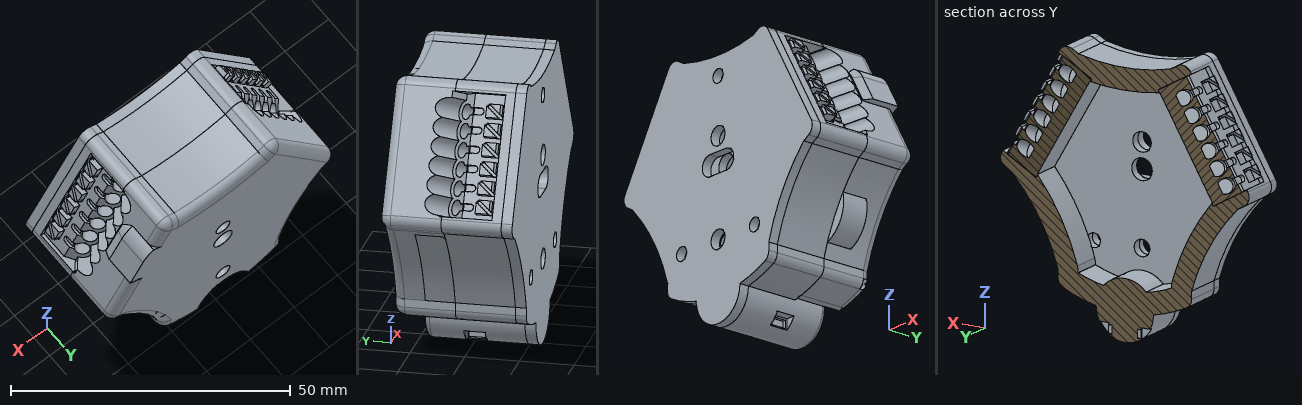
import cadquery as cq
import math

PLATE_THICKNESS = 2.0
SPLIT_Y = 13.0
BACK_Y = 24.3
COVER_EDGE_RADIUS = 2.0

OUTER_RADIUS = 25.845
CORNER_RADIUS = 2.0
CORNER_CENTRE_RADIUS = OUTER_RADIUS - CORNER_RADIUS
FACE_DISTANCE = CORNER_CENTRE_RADIUS * math.cos(math.pi / 6) + CORNER_RADIUS
BOTTOM_DISTANCE = 25.4
HOLLOW_RADIUS = 40.0
HOLLOW_HALF_WIDTH = 9.58

LOBE_RADIUS = 6.0
LOBE_Z = -24.75
LOBE_BACK_Y = 20.5
LOBE_EDGE_RADIUS = 1.0
COVER_BOTTOM_Z = -24.36
WINDOW_Y = (9.8, 13.0)
WINDOW_Z = (-29.5, -27.9)
WINDOW_DEPTH = 1.0
WINDOW_RIM_WIDTH = 0.35
WINDOW_RIM_DEPTH = 0.3

CENTRE_HOLE_DIAMETER = 4.2
CENTRE_SLOT_LENGTH = 8.6
THROUGH_HOLE_DIAMETER = 3.2
PLATE_HOLE_DIAMETER = 3.8
THROUGH_HOLE_Z = (5.1, -14.65)
SCREW_HOLE_DIAMETER = 2.75
SCREW_POINTS = [(0, 16.5), (-10, -14.65), (10, -14.65)]

WALL = 4.3
CAVITY_FRONT_Y = 3.8
COVER_BACK_THICKNESS = 2.0
CAVITY_BACK_Y = BACK_Y - COVER_BACK_THICKNESS

CONNECTOR_ANGLES = (-60, 60)
CONNECTOR_HALF_LENGTH = 11.45
CONNECTOR_DEPTH = 8.0
CONNECTOR_FRONT_Y = CAVITY_FRONT_Y
FRONT_RECESS = 0.9
ENTRY_LOWER_Y = 9.5
POLES = 6
POLE_PITCH = 3.5
POLE_ROW_OFFSET = -0.5
BUTTON_WIDTH = 2.45
BUTTON_Y = (4.0, 6.9)
BUTTON_RISE = 0.55
BUTTON_CHAMFER = 0.4
BUTTON_SLOT_WIDTH = 0.6
BUTTON_SLOT_DEPTH = 1.2
GROOVE_RADIUS = 2.0
ENTRY_FACE_Y = 13.5
TONGUE_TIP_Y = 11.25
TONGUE_TIP_DEPTH = ENTRY_FACE_Y - TONGUE_TIP_Y
SLOPE_END_DEPTH = FRONT_RECESS + SPLIT_Y - ENTRY_LOWER_Y
WIRE_HOLE_RADIUS = 1.4
WIRE_HOLE_LENGTH = 3.0
NOTCH_WIDTH = 1.3
NOTCH_LOWER_Y = 7.6
NOTCH_DEPTH = 0.7

BOSS_HEIGHT = 1.05
BOSS_FRONT_Y = 16.4
BOSS_START = -7.4
BOSS_FLAT_START = -4.3
BOSS_END = 1.5
BOSS_FLANK_RADIUS = 5.1
BOSS_BEVEL_HEIGHT = 0.8
BOSS_BEVEL_LENGTH = 1.9

BULGE_RADIUS = 7.35
BULGE_CENTRE = (12.0, -9.5)
SIDE_PART_BACK_Y = 18.5
INSERT_Z = (-19.1, -3.45)
INSERT_INNER_X = -8.0
INSERT_CORNER_RADIUS = 0.8


def polar(radius, degrees, centre=(0, 0)):
    angle = math.radians(degrees)
    return (centre[0] + radius * math.cos(angle), centre[1] + radius * math.sin(angle))


def turned(point, degrees):
    """Point turned about the centre of the outline."""
    return polar(math.hypot(*point), math.degrees(math.atan2(point[1], point[0])) + degrees)


def round_corner(path, corner, first_normal, last_normal):
    """Arc around a corner, from where the path already stands."""
    centre = polar(CORNER_CENTRE_RADIUS, corner)
    middle = (first_normal + last_normal) / 2
    return path.threePointArc(
        polar(CORNER_RADIUS, middle, centre), polar(CORNER_RADIUS, last_normal, centre)
    )


def add_corner(path, corner, first_normal, last_normal):
    """Line to a rounded corner, then the arc around it."""
    centre = polar(CORNER_CENTRE_RADIUS, corner)
    path = path.lineTo(*polar(CORNER_RADIUS, first_normal, centre))
    return round_corner(path, corner, first_normal, last_normal)


def body_outline(front_y):
    corner_top = polar(CORNER_CENTRE_RADIUS, 60)
    tangent_point = polar(CORNER_RADIUS, 120, corner_top)
    end_drop = (tangent_point[0] - HOLLOW_HALF_WIDTH) * math.tan(math.pi / 6)
    hollow_end = (HOLLOW_HALF_WIDTH, tangent_point[1] - end_drop)
    hollow_start = (-hollow_end[0], hollow_end[1])
    sagitta = HOLLOW_RADIUS - math.sqrt(HOLLOW_RADIUS**2 - HOLLOW_HALF_WIDTH**2)
    hollow_middle = (0, hollow_end[1] - sagitta)

    path = cq.Workplane("XZ", origin=(0, front_y, 0)).moveTo(*hollow_end)
    path = path.threePointArc(hollow_middle, hollow_start)
    path = add_corner(path, 120, 60, 150)
    path = add_corner(path, 180, 150, 240)
    path = path.lineTo(*turned(hollow_end, 120))
    path = path.threePointArc(turned(hollow_middle, 120), turned(hollow_start, 120))
    path = add_corner(path, 240, 180, 240)
    path = path.threePointArc((0, -BOTTOM_DISTANCE), polar(OUTER_RADIUS, 300))
    path = round_corner(path, 300, 300, 360)
    path = path.lineTo(*turned(hollow_end, 240))
    path = path.threePointArc(turned(hollow_middle, 240), turned(hollow_start, 240))
    path = add_corner(path, 0, -60, 30)
    path = add_corner(path, 60, 30, 120)
    return path.close()


def body_block(front_y, back_y):
    return body_outline(front_y).extrude(front_y - back_y)


def cavity(front_y, back_y):
    return body_outline(front_y).offset2D(-WALL).extrude(front_y - back_y)


def rod(points, diameter, front_y, back_y):
    plane = cq.Workplane("XZ", origin=(0, front_y, 0))
    return plane.pushPoints(points).circle(diameter / 2).extrude(front_y - back_y)


def box(x_range, y_range, z_range):
    sizes = [high - low for low, high in (x_range, y_range, z_range)]
    corner = (x_range[0], y_range[0], z_range[0])
    return cq.Workplane("XY").box(*sizes, centered=False).translate(corner)


def on_face(shape, angle):
    """Moves a shape from the frame of a connector face to the face itself."""
    return shape.rotate((0, 0, 0), (0, 1, 0), angle)


def pole_positions():
    first = POLE_ROW_OFFSET - POLE_PITCH * (POLES - 1) / 2
    return [first + POLE_PITCH * index for index in range(POLES)]


def through_holes(front_y, back_y):
    points = [(0, z) for z in THROUGH_HOLE_Z]
    holes = rod([(0, 0)], CENTRE_HOLE_DIAMETER, front_y, back_y)
    return holes.union(rod(points, THROUGH_HOLE_DIAMETER, front_y, back_y))


def wire_rods(radius, inner_length):
    """45 degree round rods that lead from outside the face down to the wire entry and beyond."""
    outside = 1.5 * GROOVE_RADIUS
    length = math.sqrt(2) * (outside + TONGUE_TIP_DEPTH) + inner_length
    rods = cq.Workplane("XY")
    for x in pole_positions():
        start = cq.Vector(x, ENTRY_FACE_Y + outside, FACE_DISTANCE + outside)
        rods = rods.add(cq.Solid.makeCylinder(radius, length, start, cq.Vector(0, -1, -1)))
    return rods.combine()


def entry_relief():
    """45 degree bevel of the cover above the wire entry."""
    overshoot = CORNER_RADIUS
    profile = [
        (SPLIT_Y, FACE_DISTANCE - ENTRY_FACE_Y + SPLIT_Y),
        (ENTRY_FACE_Y + overshoot, FACE_DISTANCE + overshoot),
        (SPLIT_Y, FACE_DISTANCE + overshoot),
    ]
    start = cq.Workplane("YZ", origin=(-CONNECTOR_HALF_LENGTH, 0, 0))
    return start.polyline(profile).close().extrude(2 * CONNECTOR_HALF_LENGTH)


def cover_tongue():
    """Wedge of the cover that reaches down behind the face and carries the groove ends."""
    tip_z = FACE_DISTANCE - TONGUE_TIP_DEPTH
    height = SPLIT_Y - TONGUE_TIP_Y
    profile = [(SPLIT_Y, tip_z + height), (TONGUE_TIP_Y, tip_z), (SPLIT_Y, tip_z - height)]
    start = cq.Workplane("YZ", origin=(-CONNECTOR_HALF_LENGTH, 0, 0))
    return start.polyline(profile).close().extrude(2 * CONNECTOR_HALF_LENGTH)


def connector_envelope():
    length = (-CONNECTOR_HALF_LENGTH, CONNECTOR_HALF_LENGTH)
    depth = (FACE_DISTANCE - CONNECTOR_DEPTH, FACE_DISTANCE + 2 * CORNER_RADIUS)
    return box(length, (CONNECTOR_FRONT_Y, SPLIT_Y), depth)


def connector_body():
    """Block with a 45 degree slope along its whole upper front edge."""
    front_z = FACE_DISTANCE - FRONT_RECESS
    profile = [
        (CONNECTOR_FRONT_Y, FACE_DISTANCE - CONNECTOR_DEPTH),
        (CONNECTOR_FRONT_Y, front_z),
        (ENTRY_LOWER_Y, front_z),
        (SPLIT_Y, FACE_DISTANCE - SLOPE_END_DEPTH),
        (SPLIT_Y, FACE_DISTANCE - CONNECTOR_DEPTH),
    ]
    start = cq.Workplane("YZ", origin=(-CONNECTOR_HALF_LENGTH, 0, 0))
    return start.polyline(profile).close().extrude(2 * CONNECTOR_HALF_LENGTH)


def release_button(x):
    """Push button with a diagonal screwdriver slot."""
    width = (x - BUTTON_WIDTH / 2, x + BUTTON_WIDTH / 2)
    top_z = FACE_DISTANCE + BUTTON_RISE
    button = box(width, BUTTON_Y, (FACE_DISTANCE - FRONT_RECESS, top_z))
    button = button.edges("|X and >Z and <Y").chamfer(BUTTON_CHAMFER)
    height = BUTTON_Y[1] - BUTTON_Y[0]
    diagonal = math.hypot(BUTTON_WIDTH, height)
    slope = math.degrees(math.atan2(height, BUTTON_WIDTH))
    slot = cq.Workplane("XY").box(diagonal, BUTTON_SLOT_WIDTH, 2 * BUTTON_SLOT_DEPTH)
    slot = slot.rotate((0, 0, 0), (0, 0, 1), slope)
    return button.cut(slot.translate((x, sum(BUTTON_Y) / 2, top_z)))


def entry_notch(x):
    """Round-ended notch that follows the sloping entry and runs out in the flat front."""
    end_y = NOTCH_LOWER_Y + NOTCH_WIDTH / 2
    front_z = FACE_DISTANCE - FRONT_RECESS
    floor_z = front_z - NOTCH_DEPTH
    round_end = cq.Workplane("XY", origin=(x, end_y, floor_z))
    round_end = round_end.circle(NOTCH_WIDTH / 2).extrude(NOTCH_DEPTH)
    profile = [
        (end_y, front_z),
        (end_y, floor_z),
        (ENTRY_LOWER_Y, floor_z),
        (TONGUE_TIP_Y, floor_z + ENTRY_LOWER_Y - TONGUE_TIP_Y),
        (TONGUE_TIP_Y, front_z),
    ]
    run = cq.Workplane("YZ", origin=(x - NOTCH_WIDTH / 2, 0, 0))
    return run.polyline(profile).close().extrude(NOTCH_WIDTH).union(round_end)


def make_connector():
    connector = connector_body().cut(wire_rods(WIRE_HOLE_RADIUS, WIRE_HOLE_LENGTH))
    for x in pole_positions():
        connector = connector.cut(entry_notch(x)).union(release_button(x))
    return connector


def make_plate():
    plate = body_block(0, PLATE_THICKNESS)
    plate = plate.union(rod([(0, LOBE_Z)], 2 * LOBE_RADIUS, 0, PLATE_THICKNESS))
    slot = cq.Workplane("XZ").slot2D(CENTRE_SLOT_LENGTH, CENTRE_HOLE_DIAMETER).extrude(-PLATE_THICKNESS)
    points = [(0, z) for z in THROUGH_HOLE_Z]
    plate = plate.cut(slot).cut(rod(points, PLATE_HOLE_DIAMETER, 0, PLATE_THICKNESS))
    return plate.cut(rod(SCREW_POINTS, SCREW_HOLE_DIAMETER, 0, PLATE_THICKNESS))


def make_lobe():
    lobe = rod([(0, LOBE_Z)], 2 * LOBE_RADIUS, PLATE_THICKNESS, LOBE_BACK_Y)
    lobe = lobe.faces(">Y").edges().fillet(LOBE_EDGE_RADIUS)
    surface_x = math.sqrt(LOBE_RADIUS**2 - (WINDOW_Z[0] - LOBE_Z) ** 2)
    for margin, depth in ((0, WINDOW_DEPTH), (WINDOW_RIM_WIDTH, WINDOW_RIM_DEPTH)):
        y_range = (WINDOW_Y[0] - margin, WINDOW_Y[1] + margin)
        z_range = (WINDOW_Z[0] - margin, WINDOW_Z[1] + margin)
        recess = box((surface_x - depth, LOBE_RADIUS), y_range, z_range)
        lobe = lobe.cut(recess).cut(recess.mirror("YZ"))
    return lobe


def make_housing():
    housing = body_block(PLATE_THICKNESS, SPLIT_Y).cut(cavity(CAVITY_FRONT_Y, SPLIT_Y))
    housing = housing.union(make_lobe())
    housing = housing.cut(through_holes(PLATE_THICKNESS, CAVITY_FRONT_Y))
    upper_hole = [(0, THROUGH_HOLE_Z[0])]
    housing = housing.cut(rod(upper_hole, PLATE_HOLE_DIAMETER, PLATE_THICKNESS, CAVITY_FRONT_Y))
    housing = housing.cut(rod(SCREW_POINTS, SCREW_HOLE_DIAMETER, PLATE_THICKNESS, CAVITY_FRONT_Y))
    for angle in CONNECTOR_ANGLES:
        housing = housing.cut(on_face(connector_envelope(), angle))
    return housing


def cover_boss():
    """Flat boss with one rounded flank, running to the back of the cover."""
    top_z = FACE_DISTANCE + BOSS_HEIGHT
    inner_z = FACE_DISTANCE - CORNER_RADIUS
    path = cq.Workplane("XZ", origin=(0, BOSS_FRONT_Y, 0)).moveTo(BOSS_START, inner_z)
    path = path.lineTo(BOSS_START, FACE_DISTANCE)
    path = path.radiusArc((BOSS_FLAT_START, top_z), BOSS_FLANK_RADIUS)
    path = path.lineTo(BOSS_END, top_z).lineTo(BOSS_END, inner_z).close()
    boss = path.extrude(BOSS_FRONT_Y - BACK_Y)
    return boss.edges("|X and >Z and <Y").chamfer(BOSS_BEVEL_LENGTH, BOSS_BEVEL_HEIGHT)


def insert_space():
    block = box((-OUTER_RADIUS, INSERT_INNER_X), (SPLIT_Y, SIDE_PART_BACK_Y), INSERT_Z)
    return block.edges("|X and >Z and <Y").fillet(INSERT_CORNER_RADIUS)


def make_cover():
    cover = body_block(SPLIT_Y, BACK_Y).faces(">Y").edges().fillet(COVER_EDGE_RADIUS)
    side = (-OUTER_RADIUS, OUTER_RADIUS)
    cover = cover.cut(box(side, (SPLIT_Y, BACK_Y), (-OUTER_RADIUS, COVER_BOTTOM_Z)))
    cover = cover.union(rod([BULGE_CENTRE], 2 * BULGE_RADIUS, SPLIT_Y, SIDE_PART_BACK_Y))
    cover = cover.cut(cavity(SPLIT_Y, CAVITY_BACK_Y))
    cover = cover.cut(through_holes(CAVITY_BACK_Y, BACK_Y))
    cover = cover.cut(rod([(0, LOBE_Z)], 2 * LOBE_RADIUS, SPLIT_Y, BACK_Y))
    for angle in CONNECTOR_ANGLES:
        cover = cover.union(on_face(cover_tongue(), angle))
        cover = cover.cut(on_face(entry_relief(), angle))
        cover = cover.cut(on_face(wire_rods(GROOVE_RADIUS, 0), angle))
    cover = cover.union(on_face(cover_boss(), CONNECTOR_ANGLES[1]))
    return cover.cut(insert_space())


def make_insert():
    wall = body_block(SPLIT_Y, SIDE_PART_BACK_Y).cut(cavity(SPLIT_Y, SIDE_PART_BACK_Y))
    return wall.intersect(insert_space())


plate = make_plate()
housing = make_housing()
cover = make_cover()
insert = make_insert()
connectors = [on_face(make_connector(), angle) for angle in CONNECTOR_ANGLES]

result = cq.Compound.makeCompound(
    [
        plate.val(),
        housing.val(),
        cover.val(),
        insert.val(),
        *[connector.val() for connector in connectors],
    ]
)